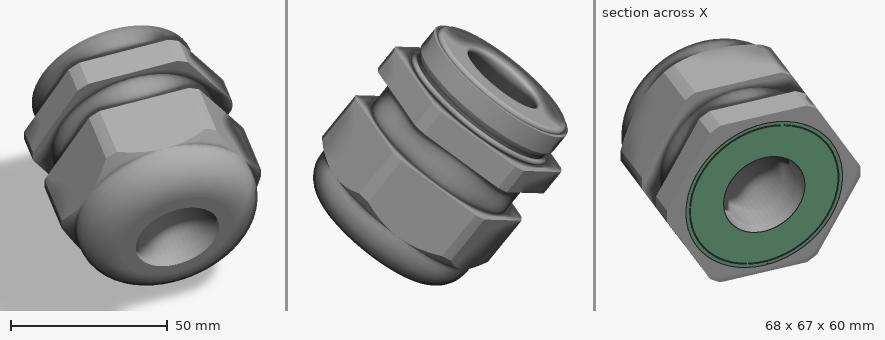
import cadquery as cq
import math

bore_radius = 28 / 2
thread_radius = 54 / 2
relief_radius = 51.3 / 2
body_radius = 54.4 / 2
hex_across_flats = 60
hex_corner_diameter = 67
dome_radius = hex_across_flats / 2

edge_round = 1.3
ring_section_radius = 1.0
ring_outer_radius = 55 / 2
ring_seat_distance = 0.9

thread_start = 1.5
thread_end = 8.5
flange_start = 13.4
flange_end = 22.5
nut_start = 34.1
dome_start = 55.1
overall_length = 68

dome_round = 10.9
runout_angle = math.radians(30)
runout_length = (thread_radius - relief_radius) / math.tan(runout_angle)
runout_end = thread_end + runout_length
ring_center_x = flange_start - ring_seat_distance
ring_center_radius = ring_outer_radius - ring_section_radius


def cylinder(radius, start, end):
    """Solid cylinder on the X axis between two stations."""
    return cq.Workplane("YZ", origin=(start, 0, 0)).circle(radius).extrude(end - start)


def hexagon(start, end):
    """Hexagonal prism with flats facing +Z and -Z and turned corners."""
    across_corners = hex_across_flats / math.cos(math.pi / 6)
    prism = (
        cq.Workplane("YZ", origin=(start, 0, 0))
        .polygon(6, across_corners)
        .extrude(end - start)
    )
    return prism.intersect(cylinder(hex_corner_diameter / 2, start, end))


def threaded_end():
    """Rounded lip, thread envelope, conical run-out and undercut."""
    lip = cylinder(relief_radius, 0, flange_start).faces("<X").edges().fillet(edge_round)
    thread = (
        cq.Workplane("XY")
        .moveTo(thread_start, 0)
        .lineTo(thread_start, thread_radius)
        .lineTo(thread_end, thread_radius)
        .lineTo(runout_end, relief_radius)
        .lineTo(runout_end, 0)
        .close()
        .revolve(360, (0, 0, 0), (1, 0, 0))
    )
    return lip.union(thread)


def sealing_ring():
    """Round-section ring seated against the flange."""
    return (
        cq.Workplane("XY")
        .center(ring_center_x, ring_center_radius)
        .circle(ring_section_radius)
        .revolve(360, (0, -ring_center_radius, 0), (1, -ring_center_radius, 0))
    )


def cap_nut():
    """Hexagonal nut, chamfered at 45 degrees down to a domed round end."""
    corner_radius = hex_corner_diameter / 2
    chamfer_start = dome_start - (corner_radius - dome_radius)
    chamfer_envelope = (
        cq.Workplane("XY")
        .moveTo(nut_start, 0)
        .lineTo(nut_start, corner_radius)
        .lineTo(chamfer_start, corner_radius)
        .lineTo(dome_start, dome_radius)
        .lineTo(dome_start, 0)
        .close()
        .revolve(360, (0, 0, 0), (1, 0, 0))
    )
    grip = hexagon(nut_start, dome_start).intersect(chamfer_envelope)
    dome = cylinder(dome_radius, dome_start, overall_length).faces(">X").edges().fillet(dome_round)
    return grip.union(dome)


def bore():
    """Through bore with a rounded mouth at the thread end."""
    mouth_radius = bore_radius + edge_round
    arc_offset = edge_round * math.sqrt(0.5)
    return (
        cq.Workplane("XY")
        .lineTo(0, mouth_radius)
        .threePointArc((edge_round - arc_offset, mouth_radius - arc_offset), (edge_round, bore_radius))
        .lineTo(overall_length, bore_radius)
        .lineTo(overall_length, 0)
        .close()
        .revolve(360, (0, 0, 0), (1, 0, 0))
    )


result = (
    threaded_end()
    .union(sealing_ring())
    .union(hexagon(flange_start, flange_end))
    .union(cylinder(body_radius, flange_end, nut_start))
    .union(cap_nut())
    .cut(bore())
)